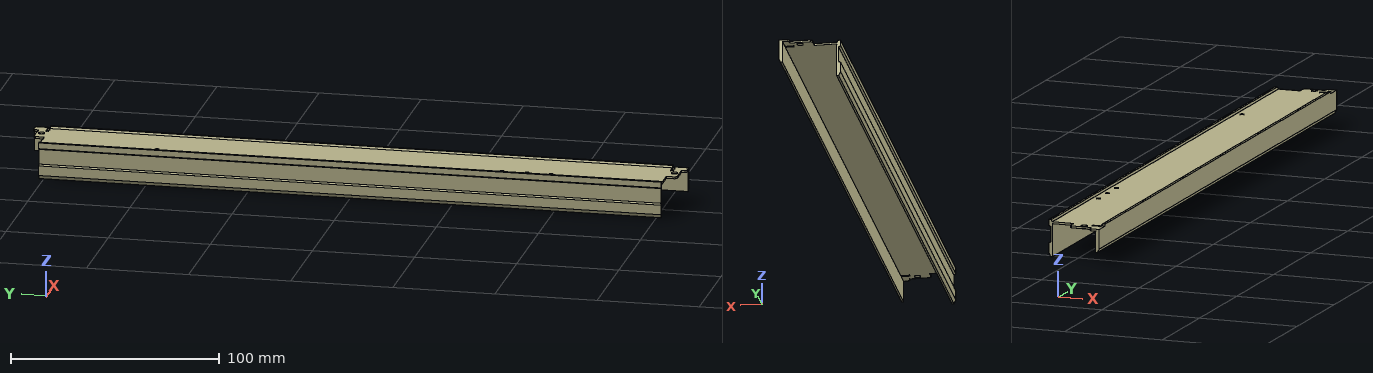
import cadquery as cq

width = 28.8
length = 320.0
height = 18.2

sheet = 1.0
offset = 1.0
band_width = sheet + offset
body_length = 304.7
right_depth = 12.5
right_band_depth = 10.5
corner_band_depth = 3.0
lower_band_top = 11.5
lower_band_bottom = 16.3
band_slope = 0.5

tab_left = 12.8
shoulder_length = 157.5
nose_left = 23.7
tab_chamfer = 1.0
tab_hole_diameter = 3.0
tab_hole_x = 19.2
tab_hole_y = 155.0
relief_left = 22.7
relief_width = 1.3

hole_diameter = 2.0
hole_x = 4.8
hole_positions = (95.5, -73.5, -85.8, -97.5)

left = -width / 2
right = width / 2
right_wall_outer = right - offset
right_wall_inner = right - band_width
web_top = -offset
web_bottom = web_top - sheet


def make_body():
    """Extrude the unequal channel with its raised outer bands."""
    wall_outer = left + offset
    wall_inner = left + band_width
    profile = [
        (left, 0),
        (wall_inner - band_slope, 0),
        (wall_inner, web_top),
        (right_wall_inner, web_top),
        (right_wall_inner + band_slope, 0),
        (right, 0),
        (right, -right_band_depth),
        (right_wall_outer, -right_depth),
        (right_wall_inner, -right_depth),
        (right_wall_inner, web_bottom),
        (wall_inner, web_bottom),
        (wall_inner, -height),
        (wall_outer, -height),
        (left, -lower_band_bottom),
        (left, -lower_band_top),
        (wall_outer, -lower_band_top + band_slope),
        (wall_outer, -corner_band_depth - band_slope),
        (left, -corner_band_depth),
    ]
    return cq.Workplane("XZ").polyline(profile).close().extrude(body_length / 2, both=True)


def make_tab():
    """Continue the web and right wall past the +Y end of the body."""
    root = body_length / 2 - sheet
    tip = length / 2
    shoulder_left = left + tab_left
    nose = left + nose_left
    outline = [
        (shoulder_left, root),
        (shoulder_left, shoulder_length - tab_chamfer),
        (shoulder_left + tab_chamfer, shoulder_length),
        (nose, shoulder_length),
        (nose, tip - tab_chamfer),
        (nose + tab_chamfer, tip),
        (right, tip),
        (right, root),
    ]
    web = cq.Workplane("XY", origin=(0, 0, web_bottom)).polyline(outline).close().extrude(sheet)
    wall_profile = [
        (right_wall_inner, web_top),
        (right, web_top),
        (right, -right_band_depth),
        (right_wall_outer, -right_depth),
        (right_wall_inner, -right_depth),
    ]
    wall = (
        cq.Workplane("XZ", origin=(0, root, 0))
        .polyline(wall_profile)
        .close()
        .extrude(root - tip)
    )
    return web.union(wall)


def make_tab_cuts():
    """Hole and bend relief for the +Y tab."""
    hole = (
        cq.Workplane("XY", origin=(0, 0, web_bottom))
        .center(left + tab_hole_x, tab_hole_y)
        .circle(tab_hole_diameter / 2)
        .extrude(sheet)
    )
    relief_length = right_wall_inner - (left + relief_left)
    relief = cq.Workplane("XY").box(
        relief_length, relief_width, sheet, centered=False
    ).translate((left + relief_left, body_length / 2, web_bottom))
    return hole.union(relief)


tab = make_tab()
tab_cuts = make_tab_cuts()
body = make_body()
body = body.union(tab).union(tab.mirror("XZ"))
body = body.cut(tab_cuts).cut(tab_cuts.mirror("XZ"))

web_holes = (
    cq.Workplane("XY", origin=(0, 0, web_bottom))
    .pushPoints([(left + hole_x, y) for y in hole_positions])
    .circle(hole_diameter / 2)
    .extrude(sheet)
)
result = body.cut(web_holes)